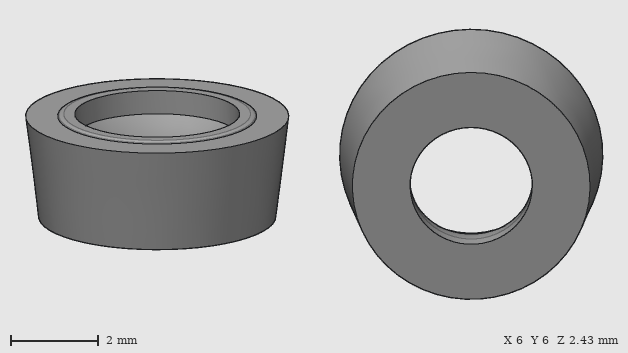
import cadquery as cq
import math

height = 2.43
rim_radius = 3.0
relief_angle = 7.0
lip_height = 0.05
rim_z = height - lip_height
base_radius = rim_radius - rim_z * math.tan(math.radians(relief_angle))

lip_outer_radius = 2.27
foot_width = 0.025
foot_height = 0.02
shoulder_radius = lip_outer_radius - foot_width
shoulder_z = rim_z + foot_height
lip_flat_radius = 2.13
shoulder_width = shoulder_radius - lip_flat_radius
shoulder_drop = height - shoulder_z
shoulder_arc_radius = (shoulder_width**2 + shoulder_drop**2) / (2 * shoulder_drop)

entry_radius = 1.88
entry_depth = 0.55
throat_radius = 1.39
throat_height = 0.4
seat_top_z = height - entry_depth
seat_width = entry_radius - throat_radius
seat_height = seat_top_z - throat_height
seat_arc_radius = (seat_width**2 + seat_height**2) / (2 * seat_width)


def revolve_about_z(profile):
    """Revolve a closed radius-height profile around the Z axis."""
    return profile.close().revolve(360, (0, 0, 0), (0, 1, 0))


def make_body():
    profile = (
        cq.Workplane("XZ")
        .lineTo(base_radius, 0)
        .lineTo(rim_radius, rim_z)
        .lineTo(lip_outer_radius, rim_z)
        .lineTo(shoulder_radius, shoulder_z)
        .radiusArc((lip_flat_radius, height), -shoulder_arc_radius)
        .lineTo(0, height)
    )
    return revolve_about_z(profile)


def make_screw_hole():
    profile = (
        cq.Workplane("XZ")
        .lineTo(throat_radius, 0)
        .lineTo(throat_radius, throat_height)
        .radiusArc((entry_radius, seat_top_z), seat_arc_radius)
        .lineTo(entry_radius, height)
        .lineTo(0, height)
    )
    return revolve_about_z(profile)


result = make_body().cut(make_screw_hole())